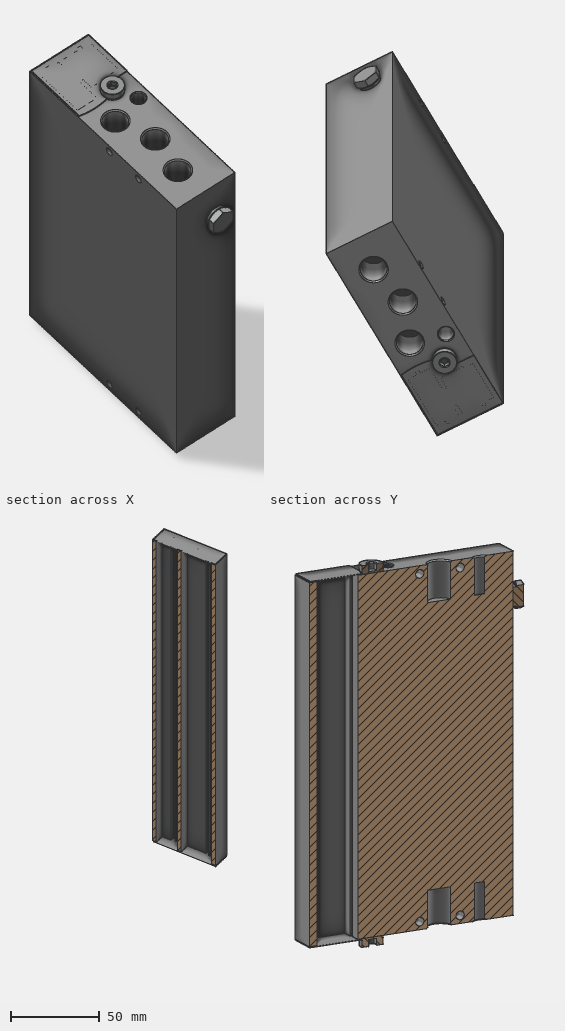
import cadquery as cq
import math

OVERALL_LENGTH = 137.3
OVERALL_HEIGHT = 224.7

PLUG_Y = 28.5
PLUG_Z = 80.2
PLUG_NECK_DIAMETER = 13.0
PLUG_NECK_LENGTH = 1.8
PLUG_COLLAR_DIAMETER = 14.0
PLUG_COLLAR_LENGTH = 0.5
PLUG_HEX_FLATS = 14.2
PLUG_HEX_LENGTH = 4.5
PLUG_INNER_CHAMFER = 0.7
PLUG_OUTER_CHAMFER = 0.2

BLOCK_DEPTH = 42.5
PLUG_LENGTH = PLUG_NECK_LENGTH + PLUG_COLLAR_LENGTH + PLUG_HEX_LENGTH
BLOCK_LENGTH = OVERALL_LENGTH - PLUG_LENGTH

PLATE_THICKNESS = 0.7
PLATE_INSET = 0.7
SCREW_X = 40.7
SCREW_Y = 27.0
SCREW_DIAMETER = 14.0
SCREW_BASE_DIAMETER = 13.7
SCREW_BASE_HEIGHT = 1.1
SCREW_HEIGHT = 5.2
SCREW_CHAMFER = 0.2
SOCKET_FLATS = 5.0
SOCKET_RIM_DIAMETER = 6.3
SOCKET_DEPTH = 4.0
BLOCK_TOP = OVERALL_HEIGHT / 2 - SCREW_HEIGHT

PLATE_REAR_X = 34.8
PLATE_SHOULDER_X = 43.5
PLATE_SHOULDER_Y = 20.2
PLATE_BULGE_X = 44.5
PLATE_BULGE_Y = 11.2
PLATE_FRONT_X = 43.4

CHAMBER_LEFT = 6.0
CHAMBER_INNER_LEFT = 5.5
CHAMBER_SLOT_LEFT = 3.8
CHAMBER_NECK_LEFT = 12.1
CHAMBER_NECK_RIGHT = 23.8
CHAMBER_NECK_BEVEL = 1.0
REAR_FIELD_RIGHT = 30.5
REAR_FIELD_INNER_RIGHT = 31.2
REAR_SLOT_RIGHT = 32.0
FRONT_FIELD_RIGHT = 39.3
FRONT_SLOT_RIGHT = 41.0
REAR_FIELD_BACK = 39.5
REAR_SLOT_BACK = 33.7
REAR_SLOT_FRONT = 31.7
REAR_FIELD_FRONT = 19.3
FRONT_FIELD_BACK = 16.9
FRONT_SLOT_BACK = 10.8
FRONT_SLOT_FRONT = 8.5
FRONT_FIELD_FRONT = 2.7

PORT_CENTRES = [(58.6, 14.4), (83.1, 23.4), (109.0, 18.7)]
PORT_DIAMETER = 15.0
PORT_RIM_DIAMETER = 16.6
PORT_DEPTH = 22.5
PILOT_CENTRE = (54.0, 35.0)
PILOT_DIAMETER = 8.5
PILOT_RIM_DIAMETER = 9.7
PILOT_DEPTH = 22.5

MOUNT_XS = [70.8, 96.6]
MOUNT_Z = 102.2
MOUNT_DIAMETER = 5.0


def hexagon_diameter(flats):
    """Diameter across the corners of a hexagon with the given size across flats."""
    return flats / math.cos(math.pi / 6)


def disc(centre, z, diameter, height):
    """Upright cylinder standing on height z."""
    return cq.Workplane("XY", origin=(*centre, z)).circle(diameter / 2).extrude(height)


def countersink(centre, z, diameter, rim_diameter):
    """45-degree cone that opens from diameter up to rim_diameter at height z."""
    depth = (rim_diameter - diameter) / 2
    tip = cq.Vector(*centre, z - depth)
    return cq.Workplane(cq.Solid.makeCone(diameter / 2, rim_diameter / 2, depth, pnt=tip))


def port(centre, diameter, rim_diameter, depth):
    """Volume of one blind port in the +Z end face."""
    bore = disc(centre, BLOCK_TOP - depth, diameter, depth)
    return bore.union(countersink(centre, BLOCK_TOP, diameter, rim_diameter))


def cover_plate():
    """Thin plate on the +Z end face; its right edge runs below the screw head."""
    return (
        cq.Workplane("XY", origin=(0, 0, BLOCK_TOP))
        .moveTo(PLATE_INSET, PLATE_INSET)
        .lineTo(PLATE_FRONT_X, PLATE_INSET)
        .threePointArc((PLATE_BULGE_X, PLATE_BULGE_Y), (PLATE_SHOULDER_X, PLATE_SHOULDER_Y))
        .lineTo(SCREW_X, SCREW_Y)
        .lineTo(PLATE_REAR_X, SCREW_Y)
        .lineTo(PLATE_REAR_X, BLOCK_DEPTH)
        .lineTo(PLATE_INSET, BLOCK_DEPTH)
        .close()
        .extrude(PLATE_THICKNESS)
    )


def chamber():
    """Volume of the chamber that passes through the block from end to end."""
    rear_right_side = [
        (REAR_FIELD_RIGHT, REAR_FIELD_BACK),
        (REAR_FIELD_RIGHT, REAR_SLOT_BACK),
        (REAR_SLOT_RIGHT, REAR_SLOT_BACK),
        (REAR_SLOT_RIGHT, REAR_SLOT_FRONT),
        (REAR_FIELD_INNER_RIGHT, REAR_SLOT_FRONT),
        (REAR_FIELD_INNER_RIGHT, REAR_FIELD_FRONT),
    ]
    right_neck = [
        (CHAMBER_NECK_RIGHT, REAR_FIELD_FRONT),
        (CHAMBER_NECK_RIGHT, FRONT_FIELD_BACK + CHAMBER_NECK_BEVEL),
        (CHAMBER_NECK_RIGHT + CHAMBER_NECK_BEVEL, FRONT_FIELD_BACK),
    ]
    front_right_side = [
        (FRONT_FIELD_RIGHT, FRONT_FIELD_BACK),
        (FRONT_FIELD_RIGHT, FRONT_SLOT_BACK),
        (FRONT_SLOT_RIGHT, FRONT_SLOT_BACK),
        (FRONT_SLOT_RIGHT, FRONT_SLOT_FRONT),
        (FRONT_FIELD_RIGHT, FRONT_SLOT_FRONT),
        (FRONT_FIELD_RIGHT, FRONT_FIELD_FRONT),
    ]
    front_left_side = [
        (CHAMBER_LEFT, FRONT_FIELD_FRONT),
        (CHAMBER_LEFT, FRONT_SLOT_FRONT),
        (CHAMBER_SLOT_LEFT, FRONT_SLOT_FRONT),
        (CHAMBER_SLOT_LEFT, FRONT_SLOT_BACK),
        (CHAMBER_INNER_LEFT, FRONT_SLOT_BACK),
        (CHAMBER_INNER_LEFT, FRONT_FIELD_BACK),
    ]
    left_neck = [
        (CHAMBER_NECK_LEFT, FRONT_FIELD_BACK),
        (CHAMBER_NECK_LEFT, REAR_FIELD_FRONT),
    ]
    rear_left_side = [
        (CHAMBER_INNER_LEFT, REAR_FIELD_FRONT),
        (CHAMBER_INNER_LEFT, REAR_SLOT_FRONT),
        (CHAMBER_SLOT_LEFT, REAR_SLOT_FRONT),
        (CHAMBER_SLOT_LEFT, REAR_SLOT_BACK),
        (CHAMBER_LEFT, REAR_SLOT_BACK),
        (CHAMBER_LEFT, REAR_FIELD_BACK),
    ]
    outline = (
        rear_right_side + right_neck + front_right_side + front_left_side + left_neck + rear_left_side
    )
    bottom = cq.Workplane("XY", origin=(0, 0, -BLOCK_TOP))
    return bottom.polyline(outline).close().extrude(2 * BLOCK_TOP)


def mounting_holes():
    """Holes along Y near both ends of the block."""
    centres = [(x, z) for x in MOUNT_XS for z in (-MOUNT_Z, MOUNT_Z)]
    return cq.Workplane("XZ").pushPoints(centres).circle(MOUNT_DIAMETER / 2).extrude(-BLOCK_DEPTH)


def both_ends(shape):
    """The shape at the +Z end and its mirror image at the -Z end."""
    return [shape, shape.mirror("XY")]


def make_block():
    """Block with its chamber, mounting holes and ports, the ports alike at both ends."""
    block = cq.Workplane("XY").box(
        BLOCK_LENGTH, BLOCK_DEPTH, 2 * BLOCK_TOP, centered=(False, False, True)
    )
    block = block.cut(chamber()).cut(mounting_holes())

    ports = [port(centre, PORT_DIAMETER, PORT_RIM_DIAMETER, PORT_DEPTH) for centre in PORT_CENTRES]
    ports.append(port(PILOT_CENTRE, PILOT_DIAMETER, PILOT_RIM_DIAMETER, PILOT_DEPTH))
    for end_port in ports:
        for cut in both_ends(end_port):
            block = block.cut(cut)
    return block


def screw_head():
    """Stepped round screw head on the +Z end face, without its socket."""
    centre = (SCREW_X, SCREW_Y)
    base = disc(centre, BLOCK_TOP, SCREW_BASE_DIAMETER, SCREW_BASE_HEIGHT)
    head = disc(
        centre, BLOCK_TOP + SCREW_BASE_HEIGHT, SCREW_DIAMETER, SCREW_HEIGHT - SCREW_BASE_HEIGHT
    )
    return base.union(head.faces(">Z").chamfer(SCREW_CHAMFER))


def screw_socket():
    """Volume of the hexagon socket and its countersunk rim."""
    centre = (SCREW_X, SCREW_Y)
    top = OVERALL_HEIGHT / 2
    hexagon = (
        cq.Workplane("XY", origin=(*centre, top))
        .transformed(rotate=(0, 0, 30))
        .polygon(6, hexagon_diameter(SOCKET_FLATS))
        .extrude(-SOCKET_DEPTH)
    )
    return hexagon.union(countersink(centre, top, SOCKET_FLATS, SOCKET_RIM_DIAMETER))


def make_cover():
    """End cover at the +Z end: plate and screw head in one piece."""
    return cover_plate().union(screw_head()).cut(screw_socket())


def make_plug():
    """Plug along +X: round neck, round collar and a hexagonal head with turned corners."""
    collar_start = BLOCK_LENGTH + PLUG_NECK_LENGTH
    head_start = collar_start + PLUG_COLLAR_LENGTH
    flat_radius = PLUG_HEX_FLATS / 2
    corner_radius = hexagon_diameter(PLUG_HEX_FLATS) / 2
    neck = (
        cq.Workplane("YZ", origin=(BLOCK_LENGTH, PLUG_Y, PLUG_Z))
        .circle(PLUG_NECK_DIAMETER / 2)
        .extrude(PLUG_NECK_LENGTH)
    )
    collar = (
        cq.Workplane("YZ", origin=(collar_start, PLUG_Y, PLUG_Z))
        .circle(PLUG_COLLAR_DIAMETER / 2)
        .extrude(PLUG_COLLAR_LENGTH)
    )
    hexagon = (
        cq.Workplane("YZ", origin=(head_start, PLUG_Y, PLUG_Z))
        .transformed(rotate=(0, 0, 30))
        .polygon(6, 2 * corner_radius)
        .extrude(PLUG_HEX_LENGTH)
    )
    turned_envelope = (
        cq.Workplane("XY", origin=(head_start, PLUG_Y, PLUG_Z))
        .lineTo(0, flat_radius)
        .lineTo(PLUG_INNER_CHAMFER, corner_radius)
        .lineTo(PLUG_HEX_LENGTH - PLUG_OUTER_CHAMFER, corner_radius)
        .lineTo(PLUG_HEX_LENGTH, flat_radius)
        .lineTo(PLUG_HEX_LENGTH, 0)
        .close()
        .revolve(360, (0, 0, 0), (1, 0, 0))
    )
    return neck.union(collar).union(hexagon.intersect(turned_envelope))


block = make_block()
plug = make_plug()
covers = both_ends(make_cover())

result = cq.Compound.makeCompound([block.val(), plug.val(), *[cover.val() for cover in covers]])